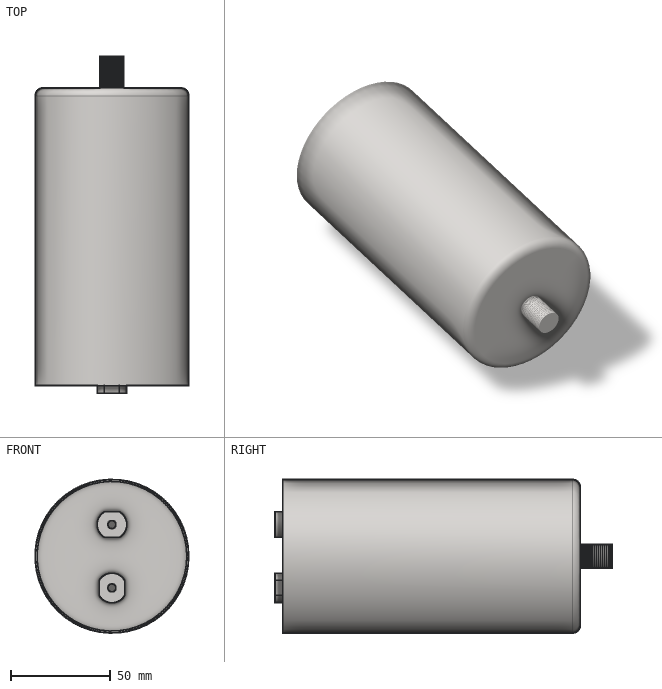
import cadquery as cq

total_length = 170.0
stud_length = 16.0
terminal_protrusion = 3.9
can_length = total_length - stud_length - terminal_protrusion
terminal_tip_y = -total_length / 2
can_front_y = terminal_tip_y + terminal_protrusion
can_back_y = can_front_y + can_length

can_diameter = 77.5
rim_thickness = 1.0
recess_depth = 2.5
back_fillet = 4.0

terminal_diameter = 15.0
terminal_flat_width = 13.0
terminal_hole_diameter = 4.0
terminal_offset = 16.0
terminal_length = terminal_protrusion + recess_depth

stud_diameter = 12.0
groove_width = 0.2
groove_depth = 0.2
thread_pitch = 1.0
thread_groove_count = 12
runout_pitch = thread_pitch / 2
runout_groove_count = 6
end_land = 0.8


def cylinder_along_y(diameter, start_y, length):
    """Solid cylinder on the Y axis that runs from start_y towards +Y."""
    circle = cq.Workplane("XZ", origin=(0, start_y, 0)).circle(diameter / 2)
    return circle.extrude(-length)


def make_can():
    """Round can with a rounded back edge and a shallow recess inside the front rim."""
    can = cylinder_along_y(can_diameter, can_front_y, can_length)
    can = can.faces(">Y").edges().fillet(back_fillet)
    recess = cylinder_along_y(can_diameter - 2 * rim_thickness, can_front_y, recess_depth)
    return can.cut(recess)


def make_terminal(z, flats_angle):
    """Round post with two opposite flats and a through hole, standing on the recess floor."""
    post = cylinder_along_y(terminal_diameter, terminal_tip_y, terminal_length)
    flats = cq.Workplane("XZ", origin=(0, terminal_tip_y, 0))
    flats = flats.rect(terminal_diameter, terminal_flat_width).extrude(-terminal_length)
    hole = cylinder_along_y(terminal_hole_diameter, terminal_tip_y, terminal_length)
    post = post.intersect(flats).cut(hole)
    return post.rotate((0, 0, 0), (0, 1, 0), flats_angle).translate((0, 0, z))


def thread_groove_positions():
    """Y of each groove centre: the main thread from the tip, then the closer runout at the can."""
    first_y = can_back_y + stud_length - end_land
    last_y = can_back_y + end_land
    thread = [first_y - i * thread_pitch for i in range(thread_groove_count)]
    runout = [last_y + i * runout_pitch for i in range(runout_groove_count)]
    return thread + runout


def make_stud():
    """Stud on the back of the can; ring grooves stand for its fine thread."""
    stud = cylinder_along_y(stud_diameter, can_back_y, stud_length)
    for y in thread_groove_positions():
        start_y = y - groove_width / 2
        ring = cylinder_along_y(stud_diameter, start_y, groove_width)
        core = cylinder_along_y(stud_diameter - 2 * groove_depth, start_y, groove_width)
        stud = stud.cut(ring.cut(core))
    return stud


can = make_can()
stud = make_stud()
terminals = []
for z, flats_angle in ((terminal_offset, 0), (-terminal_offset, 90)):
    terminals.append(make_terminal(z, flats_angle))

result = cq.Compound.makeCompound([can.val(), stud.val(), *[t.val() for t in terminals]])